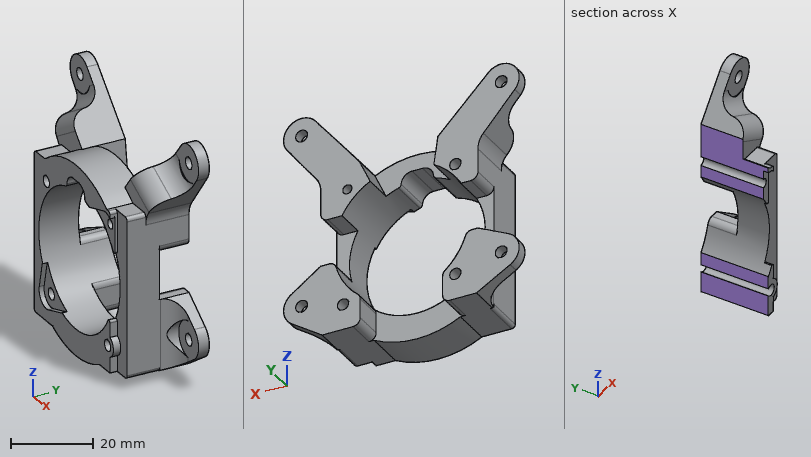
import cadquery as cq
import math


total_depth = 19.2
frame_depth = 11.0
lug_thickness = 3.0
arm_front = 7.2
lug_front = total_depth - lug_thickness

bore_radius = 18.7
ring_radius = 25.95
left, right = -21.1, 22.2
bottom, top = -23.1, 20.7
corner_radius = 1.0

notch_half_width = 4.45
notch_top = 21.7
notch_corner_radius = 3.0
notch_root_radius = 1.0

fan_hole_offset = 14.9
fan_hole_far = 16.05
fan_hole_diameter = 3.1
small_hole_diameter = 2.5
upper_small_hole = (fan_hole_offset, fan_hole_far)
lower_left_hole = (-fan_hole_offset, -fan_hole_far)
lower_right_hole = (fan_hole_far, -fan_hole_far)
upper_left_hole = (-fan_hole_offset, fan_hole_offset)
pocket_radius = 3.7
pocket_depth = 1.4
lower_pocket_left = (-17.0, -8.45)
lower_pocket_right = (-7.15, -17.5)
upper_pocket_left = (6.9, 17.45)
strip_depth = 2.0
strip_edge = 17.25
strip_gap_half_height = 8.9
strip_tip_radius = 0.5
strip_top_radius = 0.8
hole_boss_radius = 2.95

lug_radius = 5.0
lug_hole_diameter = 3.2
lug_spacing = 55.0
lug_x = lug_spacing / 2
lug_top_z = 34.6
lug_bottom_z = -13.4

leg_bottom = 9.05
leg_fillet = 1.95
knee_z = 19.75
knee_radius = 6.0
step_radius = 5.0
left_arm_inner = [(-10.0, 24.0), (-9.0, 16.4)]
right_arm_inner = [(11.75, 23.35), (8.6, 16.6)]
left_step = (-21.6, 28.4)
left_step_angle = 120.5
right_step = (22.4, 28.05)
right_step_angle = 62.7
lower_leg_inner_x = 11.35
left_lower_leg_top = -4.85
right_lower_leg_top = -3.55
lug_root_inset = 0.4
web_radius = 5.0

reach = 19.7

arc_middle = 1 - math.sqrt(0.5)


def front_plane(y):
    """Plane facing the front at depth y, with local axes x and z."""
    return cq.Workplane("XZ", origin=(0, y, 0))


def prism(outline, y_start, y_end):
    """Extrude a closed front-plane outline backwards from y_start to y_end."""
    return outline.extrude(y_start - y_end)


def cylinder(center, radius, y_start, y_end):
    return prism(front_plane(y_start).center(*center).circle(radius), y_start, y_end)


def on_circle(center, radius, angle):
    return center[0] + radius * math.cos(angle), center[1] + radius * math.sin(angle)


def tangent_angle(center, radius, point, side):
    """Angle on the circle where the line from point touches; side is +1 or -1."""
    dx, dz = point[0] - center[0], point[1] - center[1]
    return math.atan2(dz, dx) + side * math.acos(radius / math.hypot(dx, dz))


def tear_prism(center, radius, points, y_start, y_end):
    """Prism of a polygon whose two ends run tangent into an arc around center.

    The points run counterclockwise from the end of the arc to its start.
    """
    start = tangent_angle(center, radius, points[-1], 1)
    end = tangent_angle(center, radius, points[0], -1)
    sweep = (end - start) % (2 * math.pi)
    outline = (
        front_plane(y_start)
        .moveTo(*on_circle(center, radius, start))
        .threePointArc(
            on_circle(center, radius, start + sweep / 2),
            on_circle(center, radius, end),
        )
    )
    for point in points:
        outline = outline.lineTo(*point)
    return prism(outline.close(), y_start, y_end)


def round_edge(body, x, z, y, radius):
    """Fillet the depthwise edge nearest to (x, y, z)."""
    edge = cq.selectors.NearestToPointSelector((x, y, z))
    return body.edges("|Y").edges(edge).fillet(radius)


def outward_plane(origin_x, origin_z, angle):
    """Plane whose local x points outward at an angle in XZ and local y is +Y."""
    c, s = math.cos(math.radians(angle)), math.sin(math.radians(angle))
    return cq.Workplane(cq.Plane((origin_x, 0, origin_z), (c, 0, s), (-s, 0, c)))


def bore_height(x):
    return math.sqrt(bore_radius**2 - x**2)


def make_frame():
    width, height = right - left, top - bottom
    block = prism(
        front_plane(0).center((left + right) / 2, (bottom + top) / 2).rect(width, height),
        0, frame_depth,
    )
    block = block.edges("|Y").fillet(corner_radius)
    sides = prism(
        front_plane(0).center((left + right) / 2, 0).rect(width, 2 * ring_radius), 0, frame_depth
    )
    ring = cylinder((0, 0), ring_radius, 0, frame_depth).intersect(sides)
    frame = block.union(ring)
    frame = frame.cut(cylinder((0, 0), bore_radius, 0, frame_depth))
    notch = prism(
        front_plane(0).center(0, notch_top / 2).rect(2 * notch_half_width, notch_top), 0, frame_depth
    )
    notch = notch.edges("|Y and >Z").fillet(notch_corner_radius)
    frame = frame.cut(notch)
    for x in (-notch_half_width, notch_half_width):
        frame = round_edge(frame, x, bore_height(x), frame_depth / 2, notch_root_radius)
    return frame


def make_side_strip():
    """Cutter for the stepped-back right side, which also trims the ring's thin tips."""
    gap, tip = strip_gap_half_height, strip_tip_radius
    diagonal = tip * arc_middle
    tip_x = strip_edge - tip
    inner_x = bore_height(gap) - tip
    top_diagonal = strip_top_radius * arc_middle
    outline = (
        front_plane(0)
        .moveTo(strip_edge - strip_top_radius, top)
        .threePointArc(
            (strip_edge - top_diagonal, top - top_diagonal),
            (strip_edge, top - strip_top_radius),
        )
        .lineTo(strip_edge, gap + tip)
        .threePointArc((strip_edge - diagonal, gap + diagonal), (tip_x, gap))
        .lineTo(inner_x, gap)
        .lineTo(inner_x, -gap)
        .lineTo(tip_x, -gap)
        .threePointArc((strip_edge - diagonal, -gap - diagonal), (strip_edge, -gap - tip))
        .lineTo(strip_edge, bottom)
        .lineTo(right, bottom)
        .lineTo(right, top)
        .close()
    )
    strip = prism(outline, 0, strip_depth)
    return strip.cut(cylinder(lower_right_hole, hole_boss_radius, 0, strip_depth))


def make_pockets():
    lower = tear_prism(
        lower_left_hole, pocket_radius, [lower_pocket_right, (0, 0), lower_pocket_left], 0, pocket_depth
    )
    pocket_right = upper_small_hole[0] + pocket_radius
    upper = tear_prism(
        upper_small_hole, pocket_radius, [upper_pocket_left, (0, 0), (pocket_right, 0)], 0, pocket_depth
    )
    return lower.union(upper)


def finish_lug(body, center):
    """Clear the flat seat around the lug hole and drill it."""
    body = body.cut(cylinder(center, lug_radius, 0, lug_front))
    return body.cut(cylinder(center, lug_hole_diameter / 2, 0, total_depth))


def make_upper_arm(side_x, lug_center, inner_points, step_point, step_angle):
    """Leg behind the frame with an arm that steps back in an S-curve to its lug.

    The inner points run from the arm's root on the ring to the leg's end in the bore.
    The step is centered on step_point and faces outward at step_angle.
    """
    knee = (side_x, knee_z)
    points = inner_points + [(inner_points[-1][0], leg_bottom), (side_x, leg_bottom), knee]
    if side_x < 0:
        points.reverse()
    body = tear_prism(lug_center, lug_radius, points, arm_front, total_depth)
    middle_depth = (arm_front + total_depth) / 2
    body = round_edge(body, *knee, middle_depth, knee_radius)
    body = round_edge(body, side_x, leg_bottom, middle_depth, leg_fillet)

    r = step_radius
    middle_step = (arm_front + lug_front) / 2
    turn = math.acos(1 - (lug_front - middle_step) / r)
    arc_run = r * math.sin(turn)
    half_run = arc_run - r * math.sin(turn / 2)
    half_drop = r * (1 - math.cos(turn / 2))
    step = (
        outward_plane(*step_point, step_angle)
        .moveTo(-arc_run, arm_front)
        .threePointArc((-half_run, arm_front + half_drop), (0, middle_step))
        .threePointArc((half_run, lug_front - half_drop), (arc_run, lug_front))
        .lineTo(reach, lug_front)
        .lineTo(reach, arm_front)
        .close()
        .extrude(reach, both=True)
    )
    body = body.cut(step).cut(cylinder((0, 0), bore_radius, 0, total_depth))
    return finish_lug(body, lug_center)


def make_lower_leg(side_x, leg_top, lug_center):
    """Leg behind the frame with a lug that a concave web joins to the side."""
    sign = math.copysign(1, side_x)
    inner_x = sign * lower_leg_inner_x
    points = [
        (side_x, leg_top),
        (inner_x, leg_top),
        (inner_x, bottom),
        (side_x - sign * lug_root_inset, bottom),
    ]
    if side_x < 0:
        points.reverse()
    body = tear_prism(lug_center, lug_radius, points, frame_depth, total_depth)

    r = web_radius
    diagonal = r * arc_middle
    web = (
        outward_plane(side_x, 0, 0 if sign > 0 else 180)
        .moveTo(0, frame_depth)
        .lineTo(0, lug_front - r)
        .threePointArc((diagonal, lug_front - diagonal), (r, lug_front))
        .lineTo(reach, lug_front)
        .lineTo(reach, frame_depth)
        .close()
        .extrude(2 * reach, both=True)
    )
    body = body.cut(web).cut(cylinder((0, 0), bore_radius, 0, total_depth))
    middle_depth = (frame_depth + total_depth) / 2
    top_corner_x = sign * bore_height(leg_top)
    for x, z in [
        (top_corner_x, leg_top),
        (inner_x, -bore_height(inner_x)),
        (inner_x, bottom),
    ]:
        body = round_edge(body, x, z, middle_depth, leg_fillet)
    return finish_lug(body, lug_center)


upper_left_lug = (-lug_x, lug_top_z)
upper_right_lug = (lug_x, lug_top_z)
lower_left_lug = (-lug_x, lug_bottom_z)
lower_right_lug = (lug_x, lug_bottom_z)

result = make_frame().cut(make_pockets()).cut(make_side_strip())
result = result.union(make_upper_arm(left, upper_left_lug, left_arm_inner, left_step, left_step_angle))
result = result.union(make_upper_arm(right, upper_right_lug, right_arm_inner, right_step, right_step_angle))
result = result.union(make_lower_leg(left, left_lower_leg_top, lower_left_lug))
result = result.union(make_lower_leg(right, right_lower_leg_top, lower_right_lug))

for hole in (upper_left_hole, lower_left_hole, lower_right_hole):
    result = result.cut(cylinder(hole, fan_hole_diameter / 2, 0, total_depth))
result = result.cut(cylinder(upper_small_hole, small_hole_diameter / 2, 0, total_depth))